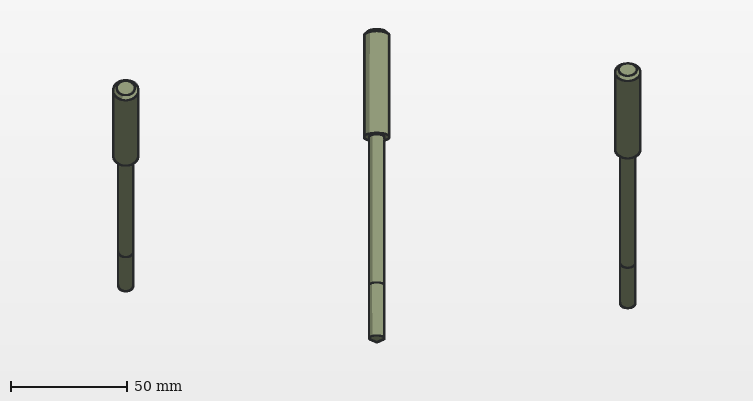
import cadquery as cq

total_length = 142.0

head_diameter = 11.0
head_length = 48.0
head_chamfer = 1.5

shank_diameter = 6.7
joint_height = 26.3

point_length = 2.0

head_bottom = total_length - head_length


def make_holder():
    """Head and shank turned as one piece."""
    shank = (
        cq.Workplane("XY", origin=(0, 0, joint_height))
        .circle(shank_diameter / 2)
        .extrude(head_bottom - joint_height)
    )
    head = (
        cq.Workplane("XY", origin=(0, 0, head_bottom))
        .circle(head_diameter / 2)
        .extrude(head_length)
        .faces(">Z")
        .chamfer(head_chamfer)
    )
    return shank.union(head)


def make_tip():
    """Cylindrical tip that ends in a blunt conical point."""
    tip_radius = shank_diameter / 2
    half_profile = [
        (0, 0),
        (tip_radius, point_length),
        (tip_radius, joint_height),
        (0, joint_height),
    ]
    return (
        cq.Workplane("XZ")
        .polyline(half_profile)
        .close()
        .revolve(360, (0, 0, 0), (0, 1, 0))
    )


holder = make_holder()
tip = make_tip()

result = cq.Compound.makeCompound([holder.val(), tip.val()])